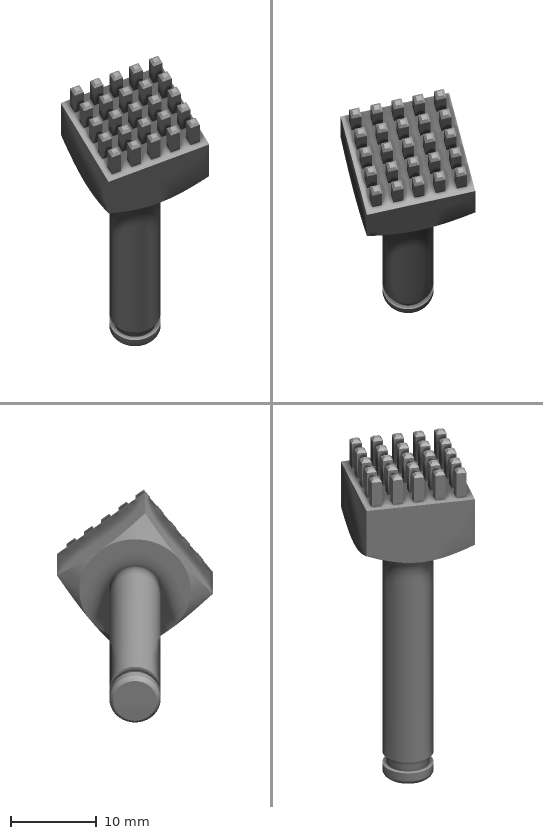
import cadquery as cq
import math

total_height = 42.0

shank_diameter = 6.0
end_bevels = [(0.23, 50.0), (0.25, 31.0), (0.12, 10.0)]
groove_diameter = 5.0
groove_bottom = 1.6
groove_width = 1.4

head_width = 13.0
head_height = 7.5
corner_trim_angle = 30.0

pins_per_side = 5
pin_pitch = 2.54
pin_width = 1.2
pin_height = 3.5
pin_chamfer = 0.3

head_top = total_height - pin_height
head_bottom = head_top - head_height


def bevel_inset(height, angle):
    """Change of radius across one bevel."""
    return height * math.tan(math.radians(angle))


def make_shank():
    """Shank standing on Z = 0, grooved all around near the beveled end."""
    shank_radius = shank_diameter / 2
    radius = shank_radius - sum(bevel_inset(height, angle) for height, angle in end_bevels)
    z = 0.0
    profile = cq.Workplane("XZ").lineTo(radius, z)
    for height, angle in end_bevels:
        radius += bevel_inset(height, angle)
        z += height
        profile = profile.lineTo(radius, z)
    profile = profile.lineTo(shank_radius, head_bottom).lineTo(0, head_bottom).close()
    shank = profile.revolve(360, (0, 0, 0), (0, 1, 0))
    groove = (
        cq.Workplane("XY", origin=(0, 0, groove_bottom))
        .circle(shank_radius)
        .circle(groove_diameter / 2)
        .extrude(groove_width)
    )
    return shank.cut(groove)


def make_head():
    """Square block kept inside a cone that starts at the circle inscribed in its underside."""
    block = cq.Workplane("XY", origin=(0, 0, head_bottom)).rect(head_width, head_width).extrude(head_height)
    inner_radius = head_width / 2
    outer_radius = head_width
    cone_rise = (outer_radius - inner_radius) * math.tan(math.radians(corner_trim_angle))
    envelope = (
        cq.Workplane("XZ")
        .moveTo(0, head_bottom)
        .lineTo(inner_radius, head_bottom)
        .lineTo(outer_radius, head_bottom + cone_rise)
        .lineTo(outer_radius, head_top)
        .lineTo(0, head_top)
        .close()
        .revolve(360, (0, 0, 0), (0, 1, 0))
    )
    return block.intersect(envelope)


def make_pins():
    """Square grid of pins with chamfered tips."""
    return (
        cq.Workplane("XY", origin=(0, 0, head_top))
        .rarray(pin_pitch, pin_pitch, pins_per_side, pins_per_side)
        .rect(pin_width, pin_width)
        .extrude(pin_height)
        .faces(">Z")
        .edges()
        .chamfer(pin_chamfer)
    )


result = make_shank().union(make_head()).union(make_pins())